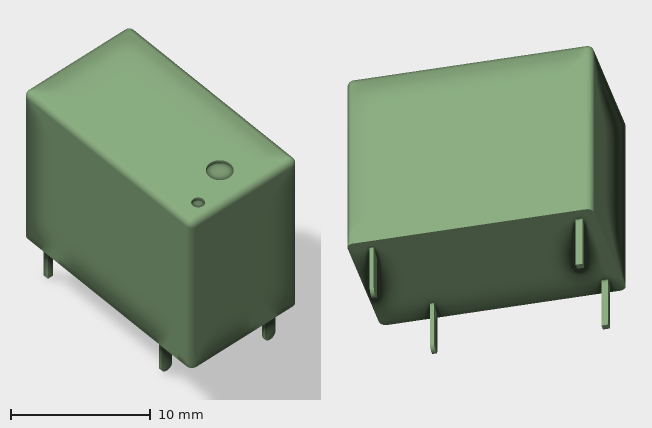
import cadquery as cq

case_length = 18.2
case_width = 10.21
case_height = 14.7
edge_radius = 0.5

recess_depth = 0.3
vent_recess = (6.28, 0.12, 2.0)
marker_recess = (7.7, -3.2, 1.0)

pitch = 2.54
pin_length = 4.0
coil_pin_side = 0.5
contact_pin_thickness = 0.3
contact_pin_width = 1.0
coil_pin_x = -7.84
inner_contact_x = coil_pin_x + 5 * pitch
outer_contact_x = inner_contact_x + pitch
pin_row_y = 1.5 * pitch


def make_case():
    """Box with every edge rounded except those around the underside."""
    box = cq.Workplane("XY").box(case_length, case_width, case_height, centered=(True, True, False))
    return box.edges("|Z or >Z").fillet(edge_radius)


def make_recess(x, y, diameter):
    """Cylinder that sinks a flat-bottomed recess into the top face."""
    floor = cq.Workplane("XY").workplane(offset=case_height - recess_depth)
    return floor.center(x, y).circle(diameter / 2).extrude(recess_depth)


def make_coil_pin(x, y):
    """Square pin with a flat end."""
    return cq.Workplane("XY").center(x, y).rect(coil_pin_side, coil_pin_side).extrude(-pin_length)


def make_contact_pin(x, y):
    """Flat blade, thin along X, with a fully rounded tip."""
    half_width = contact_pin_width / 2
    tip_start_z = half_width - pin_length
    blade = (
        cq.Workplane("YZ", origin=(x, y, 0))
        .moveTo(-half_width, 0)
        .lineTo(-half_width, tip_start_z)
        .threePointArc((0, -pin_length), (half_width, tip_start_z))
        .lineTo(half_width, 0)
        .close()
    )
    return blade.extrude(contact_pin_thickness / 2, both=True)


result = make_case()

for recess in (vent_recess, marker_recess):
    result = result.cut(make_recess(*recess))

for side in (-1, 1):
    result = result.union(make_coil_pin(coil_pin_x, side * pin_row_y))

result = result.union(make_contact_pin(inner_contact_x, -pin_row_y))
result = result.union(make_contact_pin(outer_contact_x, pin_row_y))